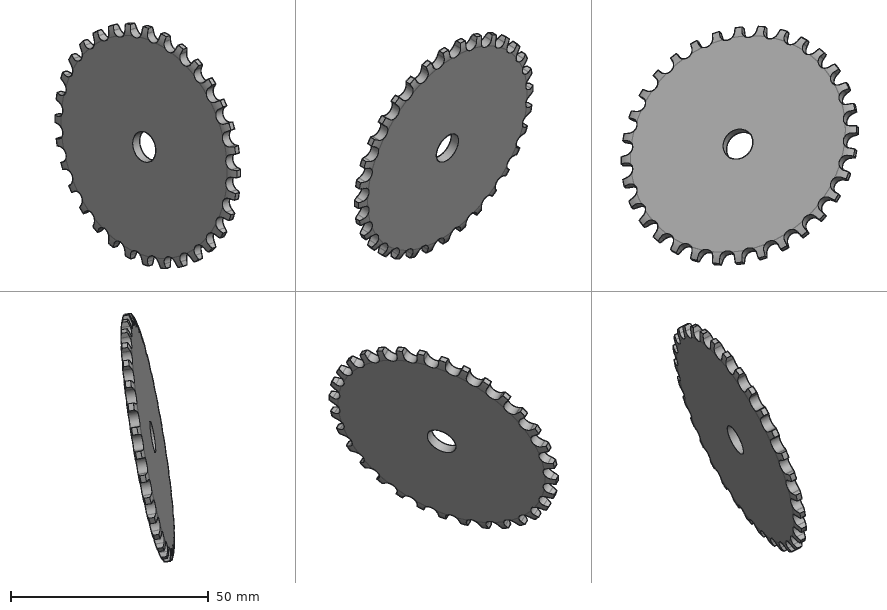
import cadquery as cq
import math

tip_radius = 31.8
thickness = 2.6
bore_diameter = 8.0

tooth_count = 32
root_radius = 28.6
seat_diameter = 4.0
seat_radius = seat_diameter / 2
pitch_radius = root_radius + seat_radius
flank_radius = 15.9
tooth_pitch_angle = 360 / tooth_count

face_radius = 29.0
tip_width = 1.4
side_depth = tip_radius - face_radius
side_drop = (thickness - tip_width) / 2
side_arc_radius = (side_depth**2 + side_drop**2) / (2 * side_drop)

cut_margin = 0.65


def make_blank():
    """Disc with rounded rim sides, revolved about Y from a half section in XY."""
    half_thickness = thickness / 2
    half_tip = tip_width / 2
    bore_radius = bore_diameter / 2

    middle_depth = side_depth / 2
    middle_drop = side_arc_radius - math.sqrt(side_arc_radius**2 - middle_depth**2)
    middle_radius = face_radius + middle_depth
    middle_y = half_thickness - middle_drop

    section = (
        cq.Workplane("XY")
        .moveTo(bore_radius, -half_thickness)
        .lineTo(face_radius, -half_thickness)
        .threePointArc((middle_radius, -middle_y), (tip_radius, -half_tip))
        .lineTo(tip_radius, half_tip)
        .threePointArc((middle_radius, middle_y), (face_radius, half_thickness))
        .lineTo(bore_radius, half_thickness)
        .close()
    )
    return section.revolve(360, (0, 0, 0), (0, 1, 0))


def make_gap():
    """Cutter for one tooth gap on the +X axis: a round seat with flanks opening outward."""
    seat_end_angle = math.pi / tooth_count
    seat_end_x = pitch_radius - seat_radius * math.sin(seat_end_angle)
    seat_end_z = seat_radius * math.cos(seat_end_angle)

    flank_centre_x = pitch_radius - (seat_radius + flank_radius) * math.sin(seat_end_angle)
    flank_centre_z = (seat_radius + flank_radius) * math.cos(seat_end_angle)
    flank_sweep = (tip_radius + cut_margin - seat_end_x) / flank_radius

    def flank_point(sweep):
        direction = seat_end_angle + sweep
        x = flank_centre_x + flank_radius * math.sin(direction)
        z = flank_centre_z - flank_radius * math.cos(direction)
        return x, z

    middle_x, middle_z = flank_point(flank_sweep / 2)
    outer_x, outer_z = flank_point(flank_sweep)
    return (
        cq.Workplane("XZ")
        .moveTo(outer_x, outer_z)
        .threePointArc((middle_x, middle_z), (seat_end_x, seat_end_z))
        .threePointArc((root_radius, 0), (seat_end_x, -seat_end_z))
        .threePointArc((middle_x, -middle_z), (outer_x, -outer_z))
        .close()
        .extrude(thickness / 2 + cut_margin, both=True)
    )


result = make_blank()
gap = make_gap()
for index in range(tooth_count):
    gap_angle = (index + 0.5) * tooth_pitch_angle
    result = result.cut(gap.rotate((0, 0, 0), (0, 1, 0), gap_angle))